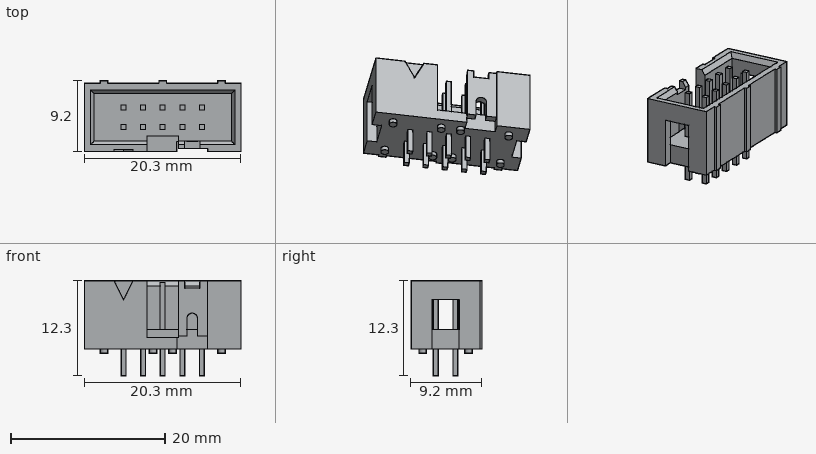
import cadquery as cq


body_length = 20.3
body_width = 8.9
body_height = 8.87
floor_height = 2.54
end_wall = 1.25
side_wall = 1.35
lead_in_width = 0.45
lead_in_depth = 0.7
front = -body_width / 2
back = body_width / 2

pitch = 2.54
pins_per_row = 5
pin_rows = 2
pin_size = 0.65
pin_top = 8.6
pin_bottom = -3.47

key_width = 4.04
key_depth = 2.03
key_bottom = 1.48

tongue_left = key_width / 2
tongue_right = 5.8
tongue_setback = 0.4
tongue_bottom = 1.68
undercut_left = 1.83
undercut_depth = 1.3
latch_center = 3.82
arch_width = 1.35
arch_top = 4.65
top_notch_width = 1.99
top_notch_depth = 1.0

window_width = 3.5
window_top = 6.4

mark_width = 2.48
mark_height = 2.5
mark_depth = 0.3

rib_width = 1.02
rib_depth = 0.3
rib_spacing = 3 * pitch
rib_count = 3

peg_diameter = 1.0
peg_height = 0.57
peg_row_offset = 2.96
peg_columns = (-3 * pitch, -pitch / 2, pitch / 2, 3 * pitch)


def block(x_range, y_range, z_range):
    """Axis-aligned box between the given limits."""
    x0, x1 = x_range
    y0, y1 = y_range
    z0, z1 = z_range
    return cq.Workplane("XY").box(x1 - x0, y1 - y0, z1 - z0, centered=False).translate((x0, y0, z0))


def make_shroud():
    """Open-topped box with a solid floor and a sloped lead-in around the mouth."""
    inner_length = body_length - 2 * end_wall
    inner_width = body_width - 2 * side_wall
    cavity = (
        cq.Workplane("XY", origin=(0, 0, floor_height))
        .rect(inner_length, inner_width)
        .extrude(body_height - floor_height)
    )
    lead_in = (
        cq.Workplane("XY", origin=(0, 0, body_height - lead_in_depth))
        .rect(inner_length, inner_width)
        .workplane(offset=lead_in_depth)
        .rect(inner_length + 2 * lead_in_width, inner_width + 2 * lead_in_width)
        .loft(ruled=True)
    )
    shroud = cq.Workplane("XY").rect(body_length, body_width).extrude(body_height)
    return shroud.cut(cavity).cut(lead_in)


def make_key_slot():
    """Slot open to the top that runs through the front wall and into the floor."""
    return block(
        (-key_width / 2, key_width / 2),
        (front, front + key_depth),
        (key_bottom, body_height),
    )


def make_tongue_cuts():
    """Material removed to leave the set-back tongue, its arch and its top notch."""
    setback = block(
        (tongue_left, tongue_right),
        (front, front + tongue_setback),
        (0, body_height),
    )
    undercut = block(
        (undercut_left, tongue_right),
        (front, front + undercut_depth),
        (0, tongue_bottom),
    )
    arch_radius = arch_width / 2
    arch_spring = arch_top - arch_radius
    arch_leg = block(
        (latch_center - arch_radius, latch_center + arch_radius),
        (front, front + undercut_depth),
        (0, floor_height),
    )
    arch_opening = (
        cq.Workplane("XZ", origin=(latch_center, front, 0))
        .moveTo(-arch_radius, floor_height)
        .lineTo(-arch_radius, arch_spring)
        .threePointArc((0, arch_top), (arch_radius, arch_spring))
        .lineTo(arch_radius, floor_height)
        .close()
        .extrude(-side_wall)
    )
    notch_half = top_notch_width / 2
    top_notch = block(
        (latch_center - notch_half, latch_center + notch_half),
        (front, front + side_wall),
        (body_height - top_notch_depth, body_height),
    )
    return setback.union(undercut).union(arch_leg).union(arch_opening).union(top_notch)


def make_end_window(side):
    """Opening through one end wall; side is -1 for the -X end and +1 for the +X end."""
    outer = side * body_length / 2
    inner = outer - side * end_wall
    return block(
        (min(outer, inner), max(outer, inner)),
        (-window_width / 2, window_width / 2),
        (0, window_top),
    )


def make_pin_one_mark():
    """Triangular recess in the front face, pointing down at the first pin column."""
    first_column = -(pins_per_row - 1) / 2 * pitch
    return (
        cq.Workplane("XZ", origin=(first_column, front, body_height))
        .polyline([(-mark_width / 2, 0), (mark_width / 2, 0), (0, -mark_height)])
        .close()
        .extrude(-mark_depth)
    )


def make_ribs():
    """Full-height ribs on the back face."""
    return (
        cq.Workplane("XY", origin=(0, back + rib_depth / 2, 0))
        .rarray(rib_spacing, 0.2, rib_count, 1)
        .rect(rib_width, rib_depth)
        .extrude(body_height)
    )


def make_pegs():
    """Round stand-off pegs in two rows under the shroud."""
    places = [(x, y) for x in peg_columns for y in (-peg_row_offset, peg_row_offset)]
    return cq.Workplane("XY").pushPoints(places).circle(peg_diameter / 2).extrude(-peg_height)


def make_pins():
    """Square pins that pass through the floor."""
    return (
        cq.Workplane("XY", origin=(0, 0, pin_bottom))
        .rarray(pitch, pitch, pins_per_row, pin_rows)
        .rect(pin_size, pin_size)
        .extrude(pin_top - pin_bottom)
    )


result = make_shroud().cut(make_key_slot()).cut(make_tongue_cuts()).cut(make_pin_one_mark())
for end in (-1, 1):
    result = result.cut(make_end_window(end))
result = result.union(make_ribs()).union(make_pegs()).union(make_pins())